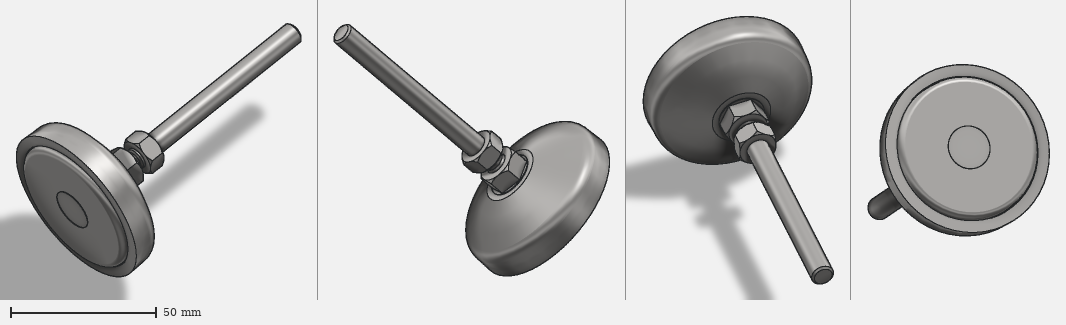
import cadquery as cq
import math


PAD_RADIUS = 25.0
PAD_EDGE_ROUND = 2.2
PAD_THICKNESS = 5.0
MARK_RECESS_RADIUS = 7.5
MARK_RECESS_DEPTH = 0.2

RIM_RADIUS = 29.51
RIM_Y = 2.0
SIDE_TOP_RADIUS = 29.2
SIDE_TOP_Y = 9.1
SHOULDER_RADIUS = 4.5
SHOULDER_SWEEP = 60
DOME_TOP_RADIUS = 10.6
DOME_TOP_Y = 20.5
PAD_CLEARANCE = 0.3

SOCKET_ACROSS_FLATS = 14.0
SOCKET_TOP_Y = 27.6
SOCKET_TURN = 54
SOCKET_FACE_RADIUS = 7.0
FLANGE_RADIUS = 8.3
FLANGE_THICKNESS = 0.3

TIP_Y = 107.5
STUD_RADIUS = 4.0
TIP_CHAMFER = 0.8
SHOULDER_Y = 30.6
NECK_RADIUS = 3.4
NECK_TOP_Y = 29.9
NECK_BOTTOM_Y = 28.5
BALL_RADIUS = 4.5
BALL_Y = NECK_BOTTOM_Y - math.sqrt(BALL_RADIUS**2 - NECK_RADIUS**2)

NUT_ACROSS_FLATS = 13.0
NUT_BOTTOM_Y = 31.5
NUT_TOP_Y = 38.1
NUT_TURN = 30
NUT_FACE_RADIUS = 6.6


def cylinder(radius, bottom_y, top_y):
    """Round bar along Y."""
    disc = cq.Workplane("XZ", origin=(0, bottom_y, 0)).circle(radius)
    return disc.extrude(bottom_y - top_y)


def spin(outline):
    """Full turn of a closed XY outline about the Y axis."""
    return outline.close().revolve(360, (0, 0), (0, 1))


def hex_bar(across_flats, turn, bottom_y, top_y):
    """Hexagonal bar along Y with its first corner turned from +X towards +Z."""
    corner_radius = across_flats / math.sqrt(3)
    angles = [math.radians(turn + 60 * i) for i in range(6)]
    corners = [(corner_radius * math.cos(a), corner_radius * math.sin(a)) for a in angles]
    outline = cq.Workplane("XZ", origin=(0, bottom_y, 0)).polyline(corners).close()
    return outline.extrude(bottom_y - top_y)


def chamfer_cone(face_radius, top_y):
    """45 degree cone whose section at top_y has face_radius; it trims hexagon corners."""
    tip_y = top_y + face_radius
    base_radius = tip_y
    return spin(cq.Workplane("XY").lineTo(base_radius, 0).lineTo(0, tip_y))


def make_pad():
    pad = cylinder(PAD_RADIUS, 0, PAD_THICKNESS).faces("<Y").edges().fillet(PAD_EDGE_ROUND)
    return pad.cut(cylinder(MARK_RECESS_RADIUS, 0, MARK_RECESS_DEPTH))


def make_base():
    def shoulder_point(degrees):
        angle = math.radians(degrees)
        radius = SIDE_TOP_RADIUS - SHOULDER_RADIUS * (1 - math.cos(angle))
        return radius, SIDE_TOP_Y + SHOULDER_RADIUS * math.sin(angle)

    base = spin(
        cq.Workplane("XY")
        .moveTo(0, RIM_Y)
        .lineTo(RIM_RADIUS, RIM_Y)
        .lineTo(SIDE_TOP_RADIUS, SIDE_TOP_Y)
        .threePointArc(shoulder_point(SHOULDER_SWEEP / 2), shoulder_point(SHOULDER_SWEEP))
        .tangentArcPoint((DOME_TOP_RADIUS, DOME_TOP_Y), relative=False)
        .lineTo(0, DOME_TOP_Y)
    )
    return base.cut(cylinder(PAD_RADIUS + PAD_CLEARANCE, RIM_Y, PAD_THICKNESS))


def make_ball():
    return cq.Workplane("XY", origin=(0, BALL_Y, 0)).sphere(BALL_RADIUS)


def make_socket():
    flange_top_y = DOME_TOP_Y + FLANGE_THICKNESS
    hexagon = hex_bar(SOCKET_ACROSS_FLATS, SOCKET_TURN, DOME_TOP_Y, SOCKET_TOP_Y)
    hexagon = hexagon.intersect(chamfer_cone(SOCKET_FACE_RADIUS, SOCKET_TOP_Y))
    flange = cylinder(FLANGE_RADIUS, DOME_TOP_Y, flange_top_y)
    return hexagon.union(flange).cut(make_ball())


def make_stud():
    shank = spin(
        cq.Workplane("XY")
        .moveTo(0, BALL_Y)
        .lineTo(NECK_RADIUS, BALL_Y)
        .lineTo(NECK_RADIUS, NECK_TOP_Y)
        .lineTo(STUD_RADIUS, SHOULDER_Y)
        .lineTo(STUD_RADIUS, TIP_Y - TIP_CHAMFER)
        .lineTo(STUD_RADIUS - TIP_CHAMFER, TIP_Y)
        .lineTo(0, TIP_Y)
    )
    return shank.union(make_ball())


def make_locknut():
    middle_y = (NUT_BOTTOM_Y + NUT_TOP_Y) / 2
    top_cone = chamfer_cone(NUT_FACE_RADIUS, NUT_TOP_Y)
    bottom_cone = top_cone.mirror("XZ", (0, middle_y, 0))
    nut = hex_bar(NUT_ACROSS_FLATS, NUT_TURN, NUT_BOTTOM_Y, NUT_TOP_Y)
    nut = nut.intersect(top_cone).intersect(bottom_cone)
    return nut.cut(cylinder(STUD_RADIUS, NUT_BOTTOM_Y, NUT_TOP_Y))


pad = make_pad()
base = make_base()
socket = make_socket()
stud = make_stud()
locknut = make_locknut()

result = cq.Compound.makeCompound([pad.val(), base.val(), socket.val(), stud.val(), locknut.val()])